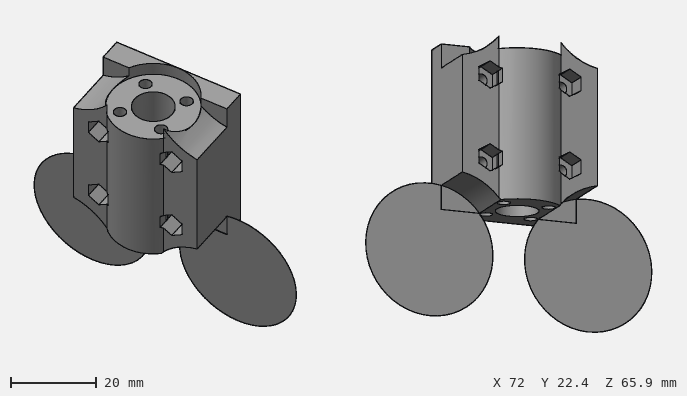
import cadquery as cq
import math

block_width = 34.0
block_height = 39.95
front_y = -8.0
back_y = 11.2

body_radius = 11.15
body_height = 36.5
bore_diameter = 10.2
face_hole_diameter = 3.1
face_hole_circle_radius = 8.0

overall_width = 72.0
wheel_diameter = 32.0
wheel_x = (overall_width - wheel_diameter) / 2
wheel_drop = 9.9
wheel_thickness = 0.1
ledge_y = 5.2
wheel_front_y = ledge_y + 0.1

bolt_diameter = 3.1
bolt_x = 10.0
bolt_z_low = 10.0
bolt_z_high = 30.0
nut_across_flats = 5.7
nut_pocket_depth = 5.75


def cylinder_along_y(diameter, x, z, start_y, end_y):
    plane = cq.Plane(origin=(x, start_y, z), xDir=(1, 0, 0), normal=(0, 1, 0))
    return cq.Workplane(plane).circle(diameter / 2).extrude(end_y - start_y)


def nut_prism(x, z):
    """Hexagon with corners pointing up and down, open toward -Y."""
    across_corners = nut_across_flats / math.cos(math.pi / 6)
    length = nut_pocket_depth + body_radius
    plane = cq.Plane(origin=(x, front_y + nut_pocket_depth, z), xDir=(0, 0, 1), normal=(0, -1, 0))
    return cq.Workplane(plane).polygon(6, across_corners).extrude(length)


block = cq.Workplane("XY").box(block_width, back_y - front_y, block_height, centered=(True, False, False))
block = block.translate((0, front_y, 0))
body = cq.Workplane("XY").circle(body_radius).extrude(body_height)
recess = (
    cq.Workplane("XY").workplane(offset=body_height)
    .circle(body_radius).extrude(block_height - body_height)
)
result = block.union(body).cut(recess)

for x in (-wheel_x, wheel_x):
    for z in (-wheel_drop, block_height + wheel_drop):
        clearance = cylinder_along_y(wheel_diameter, x, z, -body_radius, ledge_y)
        result = result.cut(clearance)

face_hole_spacing = face_hole_circle_radius * math.sqrt(2)
bore = cq.Workplane("XY").circle(bore_diameter / 2).extrude(block_height)
face_holes = (
    cq.Workplane("XY").rect(face_hole_spacing, face_hole_spacing, forConstruction=True)
    .vertices().circle(face_hole_diameter / 2).extrude(block_height)
)
result = result.cut(bore).cut(face_holes)

for x in (-bolt_x, bolt_x):
    for z in (bolt_z_low, bolt_z_high):
        result = result.cut(cylinder_along_y(bolt_diameter, x, z, front_y, back_y))
        result = result.cut(nut_prism(x, z))

for x in (-wheel_x, wheel_x):
    wheel_back_y = wheel_front_y + wheel_thickness
    result = result.union(cylinder_along_y(wheel_diameter, x, -wheel_drop, wheel_front_y, wheel_back_y))